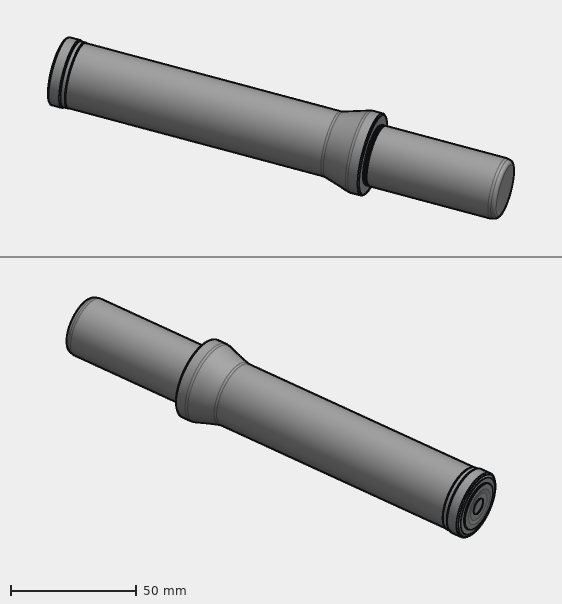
import cadquery as cq

TOTAL_LENGTH = 190.0

TUBE_DIAMETER = 27.0
BEAD_DIAMETER = 28.1
BEAD_START = 1.0
BEAD_END = 5.9
BEAD_RUNOUT = 0.5
BEAD_EDGE = 0.5
SHOULDER_DIAMETER = 27.4
SHOULDER_END = 8.5
SHOULDER_EDGE = 0.4
COLLAR_DIAMETER = 34.0
CONE_START = 117.2
CONE_END = 128.8
CONE_BLEND_RADIUS = 3.8
RIM_SEARCH_MARGIN = 0.2
COLLAR_END = 134.1
COLLAR_EDGE = 0.5

END_FACE_DIAMETER = 24.7
END_FACE_START = 0.5
END_PAD_DIAMETER = 20.1
RECESS_DIAMETER = 15.4
RECESS_FLOOR_DIAMETER = 12.0
RECESS_DEPTH = 0.2
CENTER_DIMPLE_DIAMETER = 6.8
CENTER_DIMPLE_DEPTH = 0.4

ROD_DIAMETER = 25.0
NECK_DIAMETER = 24.5
NECK_RIDGE_START = 134.7
NECK_RIDGE_END = 135.3
NECK_END = 135.8
ROD_INSERTION = 5.7
TIP_LENGTH = 2.8
TIP_RADIUS = 1.7

ROD_START = COLLAR_END - ROD_INSERTION


def cylinder(diameter, start, end):
    """Cylinder along X between two positions."""
    return cq.Workplane("YZ", origin=(start, 0, 0)).circle(diameter / 2).extrude(end - start)


def revolve_about_x(profile):
    return profile.close().revolve(360, (0, 0, 0), (1, 0, 0))


def make_sleeve():
    tube = TUBE_DIAMETER / 2
    shoulder = SHOULDER_DIAMETER / 2
    bead = BEAD_DIAMETER / 2
    collar = COLLAR_DIAMETER / 2
    sleeve = revolve_about_x(
        cq.Workplane("XY")
        .moveTo(END_FACE_START, 0)
        .lineTo(END_FACE_START, END_FACE_DIAMETER / 2)
        .lineTo(BEAD_START, bead - BEAD_EDGE)
        .lineTo(BEAD_START + BEAD_EDGE, bead)
        .lineTo(BEAD_END, bead)
        .lineTo(BEAD_END + BEAD_RUNOUT, shoulder)
        .lineTo(SHOULDER_END - SHOULDER_EDGE, shoulder)
        .lineTo(SHOULDER_END, tube)
        .lineTo(CONE_START, tube)
        .lineTo(CONE_END, collar)
        .lineTo(COLLAR_END - COLLAR_EDGE, collar)
        .lineTo(COLLAR_END, collar - COLLAR_EDGE)
        .lineTo(COLLAR_END, 0)
    )
    for position in (CONE_START, CONE_END):
        rim = cq.selectors.BoxSelector(
            (position - RIM_SEARCH_MARGIN, -collar, -collar),
            (position + RIM_SEARCH_MARGIN, collar, collar),
        )
        sleeve = sleeve.edges(rim).edges("%CIRCLE").fillet(CONE_BLEND_RADIUS)

    sleeve = sleeve.union(cylinder(END_PAD_DIAMETER, 0, END_FACE_START))
    recess = (
        cq.Workplane("YZ")
        .circle(RECESS_DIAMETER / 2)
        .workplane(offset=RECESS_DEPTH)
        .circle(RECESS_FLOOR_DIAMETER / 2)
        .loft()
    )
    center_dimple = cylinder(CENTER_DIMPLE_DIAMETER, 0, CENTER_DIMPLE_DEPTH)
    rod_socket = cylinder(NECK_DIAMETER, ROD_START, COLLAR_END)
    return sleeve.cut(recess).cut(center_dimple).cut(rod_socket)


def make_rod():
    rod = ROD_DIAMETER / 2
    neck = NECK_DIAMETER / 2
    return revolve_about_x(
        cq.Workplane("XY")
        .moveTo(ROD_START, 0)
        .lineTo(ROD_START, neck)
        .lineTo(NECK_RIDGE_START, neck)
        .lineTo(NECK_RIDGE_START, rod)
        .lineTo(NECK_RIDGE_END, rod)
        .lineTo(NECK_RIDGE_END, neck)
        .lineTo(NECK_END, neck)
        .lineTo(NECK_END, rod)
        .lineTo(TOTAL_LENGTH - TIP_LENGTH, rod)
        .lineTo(TOTAL_LENGTH - TIP_RADIUS, neck)
        .radiusArc((TOTAL_LENGTH, neck - TIP_RADIUS), TIP_RADIUS)
        .lineTo(TOTAL_LENGTH, 0)
    )


sleeve = make_sleeve()
rod = make_rod()
result = cq.Compound.makeCompound([sleeve.val(), rod.val()])